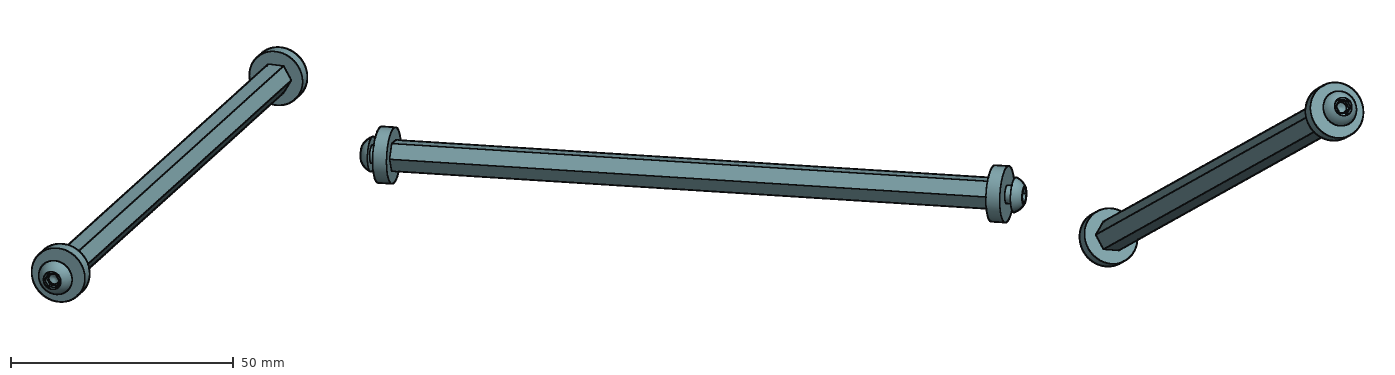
import cadquery as cq
import math

total_length = 153.6
head_height = 2.2
neck_length = 1.8
washer_thickness = 3.2

bar_across_corners = 7.4

washer_diameter = 12.8
shank_diameter = 4.1
head_diameter = 8.0
head_top_diameter = 4.1
socket_across_flats = 3.0
socket_depth = 1.2
socket_cone_diameter = 2.5
socket_cone_depth = 0.6
thread_depth = 9.2

screw_end = total_length / 2
head_base = screw_end - head_height
washer_outer = head_base - neck_length
bar_end = washer_outer - washer_thickness
shank_tip = bar_end - thread_depth


def section_at(y):
    """Sketch plane facing +Y, with local x along -X and local y along Z."""
    return cq.Workplane(cq.Plane(origin=(0, y, 0), xDir=(-1, 0, 0), normal=(0, 1, 0)))


def across_corners(across_flats):
    return across_flats / math.cos(math.pi / 6)


def make_shank():
    return section_at(shank_tip).circle(shank_diameter / 2).extrude(head_base - shank_tip)


def make_bar():
    """Hexagonal bar with a blind hole for the screw in each end."""
    bar = section_at(-bar_end).polygon(6, bar_across_corners).extrude(2 * bar_end)
    for end_hole in (make_shank(), make_shank().mirror("XZ")):
        bar = bar.cut(end_hole)
    return bar


def make_washer():
    """Washer at the +Y end, bored to fit the screw shank."""
    return (
        section_at(bar_end)
        .circle(washer_diameter / 2)
        .circle(shank_diameter / 2)
        .extrude(washer_thickness)
    )


def make_head():
    """Domed head, revolved about Y, whose arc is centred on the axis."""
    base_radius = head_diameter / 2
    top_radius = head_top_diameter / 2
    centre_height = (top_radius**2 + head_height**2 - base_radius**2) / (2 * head_height)
    dome_radius = math.hypot(base_radius, centre_height)
    middle_height = head_height / 2
    middle_radius = math.sqrt(dome_radius**2 - (middle_height - centre_height) ** 2)
    return (
        cq.Workplane("XY")
        .moveTo(0, head_base)
        .lineTo(base_radius, head_base)
        .threePointArc((middle_radius, head_base + middle_height), (top_radius, screw_end))
        .lineTo(0, screw_end)
        .close()
        .revolve(360, (0, 0, 0), (0, 1, 0))
    )


def make_socket():
    """Hexagonal socket with a conical floor, in the head at the +Y end."""
    floor = screw_end - socket_depth
    hexagon = section_at(floor).polygon(6, across_corners(socket_across_flats)).extrude(socket_depth)
    cone = (
        cq.Workplane("XY")
        .polyline([(0, floor), (socket_cone_diameter / 2, floor), (0, floor - socket_cone_depth)])
        .close()
        .revolve(360, (0, 0, 0), (0, 1, 0))
    )
    return hexagon.union(cone)


def make_screw():
    """Button-head screw at the +Y end."""
    return make_shank().union(make_head()).cut(make_socket())


bar = make_bar()
bodies = [bar.val()]
for make_body in (make_washer, make_screw):
    body = make_body()
    bodies += [body.val(), body.mirror("XZ").val()]

result = cq.Compound.makeCompound(bodies)